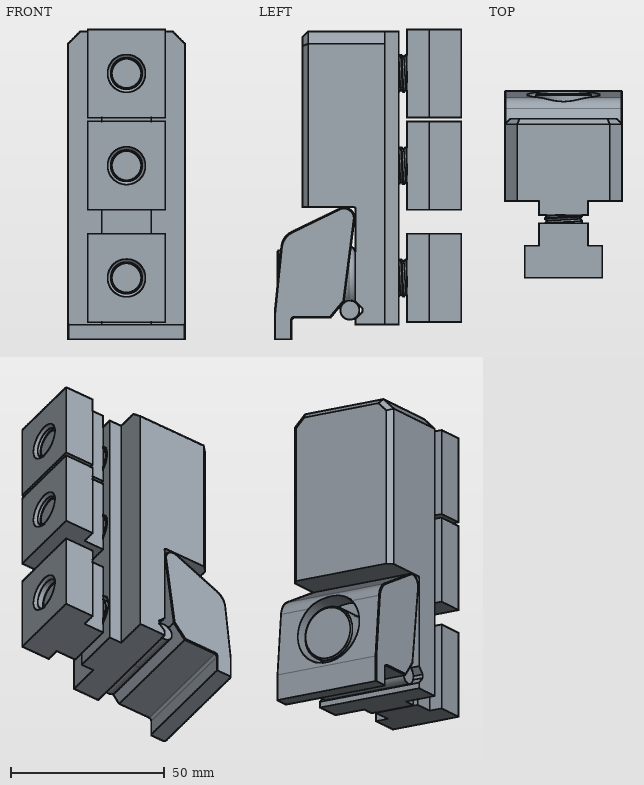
import cadquery as cq


WIDTH = 38.1
HEIGHT = 100.7

HOUSING_BOTTOM = 4.7
HOUSING_TOP = 100.0
HOUSING_DEPTH = 31.3
LEG_DEPTH = 14.1
STEP_HEIGHT = 42.9
STEP_FILLET = 0.5
TONGUE_WIDTH = 16.0
TONGUE_DEPTH = 4.5
TOP_CORNER_CHAMFER = 4.0
BACK_CHAMFER = 1.8

NUT_WIDTH = 25.2
NUT_HEIGHT = 28.7
NUT_GAP = 2.6
NUT_NECK_DEPTH = 7.3
NUT_BASE_DEPTH = 10.5
NUT_BACK = -NUT_GAP
NUT_SHOULDER = NUT_BACK - NUT_NECK_DEPTH
NUT_FRONT = NUT_SHOULDER - NUT_BASE_DEPTH
NUT_MOUTH_RADIUS = 5.1
NUT_COUNTERSINK_RADIUS = 6.1

TOP_SCREW_Z = HEIGHT - NUT_HEIGHT / 2
MIDDLE_SCREW_Z = 56.4
STUD_HEIGHTS = (TOP_SCREW_Z, MIDDLE_SCREW_Z)
JAW_SCREW_Z = 19.9
SCREW_RADIUS = 6.0
TIP_RADIUS = 4.7
TIP_LENGTH = SCREW_RADIUS - TIP_RADIUS
STUD_TIP_RECESS = 2.0
JAW_SCREW_TIP_RECESS = 3.0
STUD_BURIAL = 14.1
STUD_HOLE_RADIUS = 6.5
JAW_SCREW_HOLE_RADIUS = 7.3
HEAD_RADIUS = 9.1
HEAD_LENGTH = 12.0
HEAD_TOP = 39.5
HEAD_CHAMFER = 0.5
HEAD_SEAT = HEAD_TOP - HEAD_LENGTH
HEAD_POCKET_RADIUS = 11.8
HEAD_POCKET_Z = 21.5

THREAD_PITCH = 1.7
THREAD_DEPTH = 0.7
THREAD_GROOVE_MOUTH = 1.6
THREAD_CUT_CLEARANCE = 0.1
THREAD_TURNS = 3
THREAD_LENGTH = THREAD_PITCH * THREAD_TURNS
THREAD_START_Y = 2.3

PIN_RADIUS = 3.1
PIN_LENGTH = 32.0
PIN_Y = 15.9
PIN_Z = 9.5
GROOVE_DEPTH = 2.2
GROOVE_FLAT = 0.6

RING_RADIUS = 10.3
RING_BORE_RADIUS = 6.3
RING_LENGTH = 3.8
RING_ROUND = 2.2
RING_BACK = LEG_DEPTH + RING_LENGTH

JAW_BACK = 40.4
LIP_FRONT = 34.7
LIP_TOP = 8.7
JAW_UNDERSIDE = 7.1
NOTCH_FILLET = 0.9
JAW_BACK_CORNER = (37.9, 33.4)
JAW_BACK_RADIUS = 6.2
JAW_NOSE_CORNER = (13.6, 45.2)
JAW_NOSE_RADIUS = 3.4
JAW_HEEL_TOP = (17.8, 12.3)
JAW_HEEL_BOTTOM_Y = 22.2
JAW_EDGE_CHAMFER = 0.3


def across(points, width):
    """Prism of a (y, z) outline, centred on x = 0."""
    return cq.Workplane("YZ").polyline(points).close().extrude(width / 2, both=True)


def cylinder_y(radius, start_y, end_y, z):
    """Cylinder along Y at height z."""
    plane = cq.Plane(origin=(0, start_y, z), xDir=(1, 0, 0), normal=(0, 1, 0))
    return cq.Workplane(plane).circle(radius).extrude(end_y - start_y)


def cone_y(start_radius, end_radius, start_y, end_y, z):
    """Cone frustum along +Y at height z."""
    cone = cq.Solid.makeCone(
        start_radius, end_radius, end_y - start_y, pnt=cq.Vector(0, start_y, z), dir=cq.Vector(0, 1, 0)
    )
    return cq.Workplane(cone)


def make_screw_shank(z, tip_recess, end_y):
    """Shank from its chamfered tip inside the nut back to end_y, threaded across the gap."""
    tip_y = NUT_FRONT + tip_recess
    shank = cylinder_y(SCREW_RADIUS, tip_y + TIP_LENGTH, end_y, z)
    shank = shank.union(cone_y(TIP_RADIUS, SCREW_RADIUS, tip_y, tip_y + TIP_LENGTH, z))
    return shank.cut(make_thread_groove(z))


def make_thread_groove(z):
    """Right-hand helical vee groove running from THREAD_START_Y towards the nut."""
    half_mouth = THREAD_GROOVE_MOUTH / 2
    root = SCREW_RADIUS - THREAD_DEPTH
    outer = SCREW_RADIUS + THREAD_CUT_CLEARANCE
    path = cq.Wire.makeHelix(THREAD_PITCH, THREAD_LENGTH, SCREW_RADIUS)
    groove = (
        cq.Workplane("XZ")
        .polyline([(root, 0), (outer, half_mouth), (outer, -half_mouth)])
        .close()
        .sweep(cq.Workplane(path), isFrenet=True)
    )
    return groove.rotate((0, 0, 0), (1, 0, 0), 90).translate((0, THREAD_START_Y, z))


def make_stud(z):
    return make_screw_shank(z, STUD_TIP_RECESS, STUD_BURIAL)


def make_jaw_screw():
    shank = make_screw_shank(JAW_SCREW_Z, JAW_SCREW_TIP_RECESS, HEAD_SEAT)
    head = cylinder_y(HEAD_RADIUS, HEAD_SEAT, HEAD_TOP, JAW_SCREW_Z).faces(">Y").chamfer(HEAD_CHAMFER)
    return shank.union(head)


def make_nut(z, tip_recess):
    """Tee nut: neck at the back, wide base at the front, countersunk mouth."""
    neck_depth = NUT_BACK - NUT_FRONT
    neck = cq.Workplane("XY").box(TONGUE_WIDTH, neck_depth, NUT_HEIGHT)
    neck = neck.translate((0, (NUT_BACK + NUT_FRONT) / 2, z))
    base = cq.Workplane("XY").box(NUT_WIDTH, NUT_BASE_DEPTH, NUT_HEIGHT)
    base = base.translate((0, (NUT_SHOULDER + NUT_FRONT) / 2, z))
    sink_depth = NUT_COUNTERSINK_RADIUS - NUT_MOUTH_RADIUS
    nut = neck.union(base)
    tip_y = NUT_FRONT + tip_recess
    nut = nut.cut(cylinder_y(SCREW_RADIUS, tip_y, NUT_BACK, z))
    nut = nut.cut(cylinder_y(NUT_MOUTH_RADIUS, NUT_FRONT, tip_y, z))
    return nut.cut(cone_y(NUT_COUNTERSINK_RADIUS, NUT_MOUTH_RADIUS, NUT_FRONT, NUT_FRONT + sink_depth, z))


def make_housing():
    body_height = HOUSING_TOP - HOUSING_BOTTOM
    half = WIDTH / 2
    shoulder_z = HOUSING_TOP - TOP_CORNER_CHAMFER
    flat_half = half - TOP_CORNER_CHAMFER
    body = (
        cq.Workplane("XZ")
        .polyline(
            [
                (-half, HOUSING_BOTTOM),
                (half, HOUSING_BOTTOM),
                (half, shoulder_z),
                (flat_half, HOUSING_TOP),
                (-flat_half, HOUSING_TOP),
                (-half, shoulder_z),
            ]
        )
        .close()
        .extrude(-HOUSING_DEPTH)
    )
    body = body.faces(">Y").chamfer(BACK_CHAMFER)
    below_step = [
        (LEG_DEPTH, 0),
        (HOUSING_DEPTH, 0),
        (HOUSING_DEPTH, STEP_HEIGHT),
        (LEG_DEPTH, STEP_HEIGHT),
    ]
    cutter = across(below_step, WIDTH).edges("|X and <Y and >Z").fillet(STEP_FILLET)
    body = body.cut(cutter)
    side_width = (WIDTH - TONGUE_WIDTH) / 2
    for side in (-1, 1):
        corner = cq.Workplane("XY").box(side_width, TONGUE_DEPTH, body_height)
        x = side * (half - side_width / 2)
        body = body.cut(corner.translate((x, TONGUE_DEPTH / 2, HOUSING_BOTTOM + body_height / 2)))
    mouth_half = GROOVE_FLAT + GROOVE_DEPTH
    groove = [
        (LEG_DEPTH, PIN_Z - mouth_half),
        (LEG_DEPTH, PIN_Z + mouth_half),
        (LEG_DEPTH - GROOVE_DEPTH, PIN_Z + GROOVE_FLAT),
        (LEG_DEPTH - GROOVE_DEPTH, PIN_Z - GROOVE_FLAT),
    ]
    body = body.cut(across(groove, WIDTH))
    for z in STUD_HEIGHTS:
        body = body.cut(cylinder_y(STUD_HOLE_RADIUS, 0, STUD_BURIAL, z))
    return body.cut(cylinder_y(JAW_SCREW_HOLE_RADIUS, 0, LEG_DEPTH, JAW_SCREW_Z))


def make_jaw():
    outline = [
        (JAW_BACK, 0),
        (JAW_BACK, LIP_TOP),
        JAW_BACK_CORNER,
        JAW_NOSE_CORNER,
        JAW_HEEL_TOP,
        (JAW_HEEL_BOTTOM_Y, JAW_UNDERSIDE),
        (LIP_FRONT, JAW_UNDERSIDE),
        (LIP_FRONT, 0),
    ]
    jaw = across(outline, WIDTH)
    for corner, radius in (
        (JAW_BACK_CORNER, JAW_BACK_RADIUS),
        (JAW_NOSE_CORNER, JAW_NOSE_RADIUS),
        ((LIP_FRONT, JAW_UNDERSIDE), NOTCH_FILLET),
    ):
        jaw = jaw.edges(cq.NearestToPointSelector((0, *corner))).fillet(radius)
    jaw = jaw.faces("<X or >X").edges("not <Z").chamfer(JAW_EDGE_CHAMFER)
    jaw = jaw.cut(cylinder_y(SCREW_RADIUS, LEG_DEPTH, HEAD_SEAT, JAW_SCREW_Z))
    jaw = jaw.cut(cylinder_y(HEAD_POCKET_RADIUS, HEAD_SEAT, JAW_BACK, HEAD_POCKET_Z))
    return jaw.cut(cylinder_y(RING_RADIUS, LEG_DEPTH, RING_BACK, JAW_SCREW_Z))


def make_pin():
    return cq.Workplane("YZ").center(PIN_Y, PIN_Z).circle(PIN_RADIUS).extrude(PIN_LENGTH / 2, both=True)


def make_ring():
    """Spacer ring around the jaw screw, rounded against the leg and notched for the pin."""
    ring = cylinder_y(RING_RADIUS, LEG_DEPTH, RING_BACK, JAW_SCREW_Z).edges("<Y").fillet(RING_ROUND)
    ring = ring.cut(cylinder_y(RING_BORE_RADIUS, LEG_DEPTH, RING_BACK, JAW_SCREW_Z))
    return ring.cut(make_pin())


housing = make_housing()
jaw = make_jaw()
pin = make_pin()
ring = make_ring()
jaw_screw = make_jaw_screw()
studs = [make_stud(z) for z in STUD_HEIGHTS]
nuts = [make_nut(z, STUD_TIP_RECESS) for z in STUD_HEIGHTS]
nuts.append(make_nut(JAW_SCREW_Z, JAW_SCREW_TIP_RECESS))

result = cq.Compound.makeCompound(
    [body.solids().val() for body in (housing, jaw, pin, ring, jaw_screw, *studs, *nuts)]
)